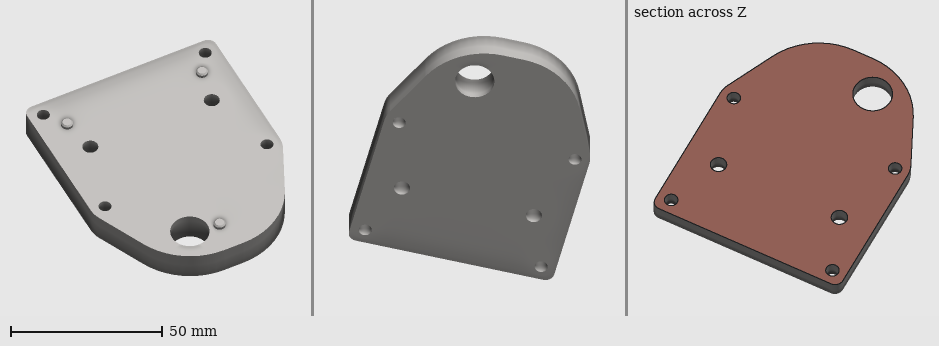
import cadquery as cq
import math

plate_length = 84.98
plate_width = 70.0
plate_thickness = 10.0
half_width = plate_width / 2
corner_radius = 3.0
taper_start_x = 51.7
taper_angle = 25.0
shoulder_radius = 10.0
nose_radius = 25.0

edge_inset = 5.0
mount_hole_diameter = 4.3
mount_hole_spacing_x = 45.0
mount_hole_y = half_width - edge_inset

middle_hole_diameter = 5.3
middle_hole_x = 24.5
middle_hole_y = 22.5

bore_diameter = 13.0
bore_x = 72.5
bore_y = -10.0

pin_diameter = 4.0
pin_height = 1.5
pin_chamfer = 0.5
rear_pin_x = 12.5
rear_pin_y = 25.0
nose_pin_x = 74.5


def make_plate():
    """Extrude the symmetric outline and round its vertical edges."""
    taper_run = plate_length - taper_start_x
    nose_half_width = half_width - taper_run * math.tan(math.radians(taper_angle))
    plate = (
        cq.Workplane("XY")
        .moveTo(0, -half_width)
        .lineTo(taper_start_x, -half_width)
        .lineTo(plate_length, -nose_half_width)
        .lineTo(plate_length, nose_half_width)
        .lineTo(taper_start_x, half_width)
        .lineTo(0, half_width)
        .close()
        .extrude(plate_thickness)
    )
    plate = plate.edges("|Z and <X").fillet(corner_radius)
    plate = plate.edges("|Z and >X").fillet(nose_radius)
    for y in (-half_width, half_width):
        shoulder = cq.selectors.NearestToPointSelector((taper_start_x, y, plate_thickness / 2))
        plate = plate.edges("|Z").edges(shoulder).fillet(shoulder_radius)
    return plate


def drill(plate, diameter, centers):
    """Cut through holes of one diameter at the given centers."""
    cutter = cq.Workplane("XY").pushPoints(centers).circle(diameter / 2).extrude(plate_thickness)
    return plate.cut(cutter)


def make_pins(centers):
    """Build the pins with their top rims chamfered."""
    return (
        cq.Workplane("XY", origin=(0, 0, plate_thickness))
        .pushPoints(centers)
        .circle(pin_diameter / 2)
        .extrude(pin_height)
        .faces(">Z")
        .chamfer(pin_chamfer)
    )


mount_hole_centers = [
    (x, y)
    for x in (edge_inset, edge_inset + mount_hole_spacing_x)
    for y in (-mount_hole_y, mount_hole_y)
]
middle_hole_centers = [(middle_hole_x, y) for y in (-middle_hole_y, middle_hole_y)]
pin_centers = [(rear_pin_x, -rear_pin_y), (rear_pin_x, rear_pin_y), (nose_pin_x, 0)]

body = make_plate()
body = drill(body, mount_hole_diameter, mount_hole_centers)
body = drill(body, middle_hole_diameter, middle_hole_centers)
body = drill(body, bore_diameter, [(bore_x, bore_y)])
result = body.union(make_pins(pin_centers))